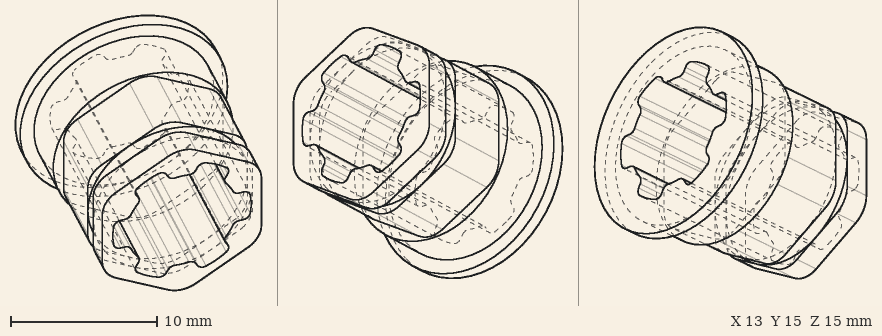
import cadquery as cq
import math

flange_end = 1.0
collar_end = 5.0
groove_start = 10.0
groove_end = 11.1
total_length = 13.0

flange_diameter = 15.0
collar_diameter = 13.0
hex_across_flats = 11.5
hex_corner_radius = 2.0
groove_diameter = hex_across_flats

bore_minor_diameter = 8.0
bore_major_diameter = 10.0
slot_count = 6
slot_width = 2.5
slot_root_radius = 0.5
tooth_tip_radius = 0.5
edge_tolerance = 0.002


def section_plane(x):
    """Plane across the axis at x, with local x along Y and local y along Z."""
    return cq.Workplane("YZ", origin=(x, 0, 0))


def cylinder(start, end, diameter):
    return section_plane(start).circle(diameter / 2).extrude(end - start)


def hex_section(start, end):
    """Hexagonal length with rounded corners, two of them pointing along Z."""
    across_corners = hex_across_flats / math.cos(math.pi / 6)
    prism = (
        section_plane(start)
        .transformed(rotate=(0, 0, 90))
        .polygon(6, across_corners)
        .extrude(end - start)
    )
    return prism.edges("|X").fillet(hex_corner_radius)


def fillet_axial_edges(solid, distance, fillet_radius):
    """Fillet the edges parallel to X that lie at the given distance from the axis."""
    chosen_edges = []
    for edge in solid.edges("|X").vals():
        center = edge.Center()
        if abs(math.hypot(center.y, center.z) - distance) < edge_tolerance:
            chosen_edges.append(edge)
    return solid.newObject(chosen_edges).fillet(fillet_radius)


def spline_bore():
    """Solid filling the bore: a core with evenly spaced radial lobes, one along Y."""
    lobes = cylinder(0, total_length, bore_minor_diameter)
    for index in range(slot_count // 2):
        bar = (
            section_plane(0)
            .rect(bore_major_diameter + slot_width, slot_width)
            .extrude(total_length)
            .rotate((0, 0, 0), (1, 0, 0), index * 360 / slot_count)
        )
        lobes = lobes.union(bar)
    bore = lobes.intersect(cylinder(0, total_length, bore_major_diameter))

    bore = fillet_axial_edges(bore, bore_major_diameter / 2, slot_root_radius)
    return fillet_axial_edges(bore, bore_minor_diameter / 2, tooth_tip_radius)


flange = cylinder(0, flange_end, flange_diameter)
collar = cylinder(flange_end, collar_end, collar_diameter)
hex_body = hex_section(collar_end, groove_start)
groove_core = cylinder(groove_start, groove_end, groove_diameter)
hex_end = hex_section(groove_end, total_length)

sleeve = flange.union(collar).union(hex_body).union(groove_core).union(hex_end)
result = sleeve.cut(spline_bore())